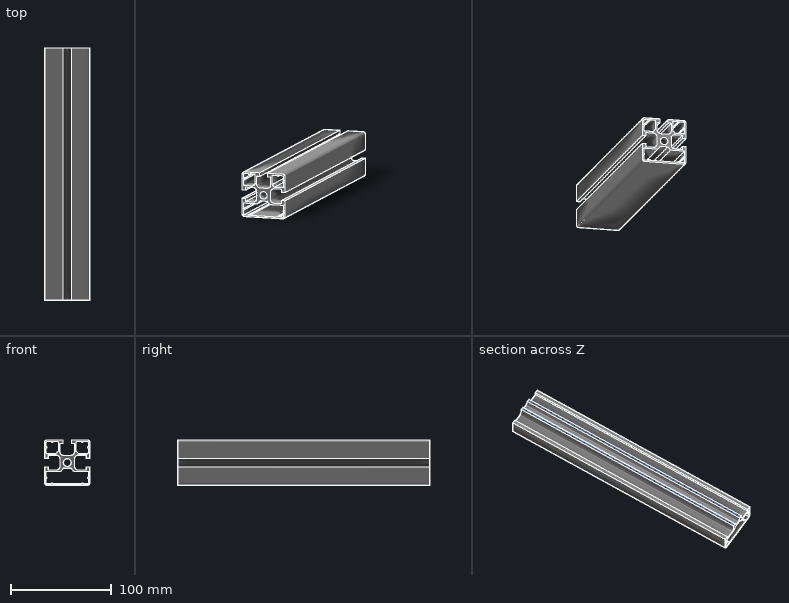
import cadquery as cq

length = 250.0
side = 45.0
half_side = side / 2
outer_radius = 2.5
wall = 1.62
inner_half = half_side - wall

slot_opening = 8.2
lip_thickness = 3.8
slot_half_width = 7.2
slot_floor = 7.2
slot_radius = 3.8

chamber_start = slot_half_width + wall
chamber_size = inner_half - chamber_start
chamber_centre = (inner_half + chamber_start) / 2
chamber_chamfer = 2.5
chamber_radius = 1.0
core_bottom = 5.8
arch_half_width = 3.8
arch_base_half_width = 6.5

bore_diameter = 7.5

bead_radius = 0.8
bead_offset = 15.0

ridge_width = 2.0
ridge_height = 0.12
ridge_offset = 16.0


def section():
    """Sketch plane at the +Y end; positive extrusion runs toward -Y."""
    return cq.Workplane("XZ", origin=(0, length / 2, 0))


def t_slot(angle):
    """Cutter for the top slot, turned about Y by the given angle."""
    slot_roof = half_side - lip_thickness
    cavity_height = slot_roof - slot_floor
    cavity = (
        section()
        .center(0, (slot_roof + slot_floor) / 2)
        .rect(2 * slot_half_width, cavity_height)
        .extrude(length)
        .edges("|Y and <Z")
        .fillet(slot_radius)
    )
    mouth = (
        section()
        .center(0, (half_side + slot_floor + slot_radius) / 2)
        .rect(slot_opening, half_side - slot_floor - slot_radius)
        .extrude(length)
    )
    return cavity.union(mouth).rotate((0, 0, 0), (0, 1, 0), angle)


def corner_chamber(x_sign):
    """Upper square chamber, chamfered nearest the core and rounded elsewhere."""
    core_side, outer_side = ("<X", ">X") if x_sign > 0 else (">X", "<X")
    return (
        section()
        .center(x_sign * chamber_centre, chamber_centre)
        .rect(chamber_size, chamber_size)
        .extrude(length)
        .edges(f"|Y and ({outer_side} or (>Z and {core_side}))")
        .fillet(chamber_radius)
        .edges(f"|Y and <Z and {core_side}")
        .chamfer(chamber_chamfer)
    )


def lower_chamber():
    """Full-width chamber whose ceiling rises below the core."""
    return (
        section()
        .moveTo(-inner_half, -inner_half)
        .lineTo(inner_half, -inner_half)
        .lineTo(inner_half, -chamber_start)
        .lineTo(arch_base_half_width, -chamber_start)
        .lineTo(arch_half_width, -core_bottom)
        .lineTo(-arch_half_width, -core_bottom)
        .lineTo(-arch_base_half_width, -chamber_start)
        .lineTo(-inner_half, -chamber_start)
        .close()
        .extrude(length)
    )


def beads():
    """Two round beads in each corner of the profile, one per outer wall."""
    points = []
    for x_sign in (-1, 1):
        for z_sign in (-1, 1):
            points.append((x_sign * bead_offset, z_sign * inner_half))
            points.append((x_sign * inner_half, z_sign * bead_offset))
    return section().pushPoints(points).circle(bead_radius).extrude(length)


def floor_ridge(x_sign):
    """Shallow arched ridge on the floor of an upper chamber."""
    return (
        section()
        .center(x_sign * ridge_offset, chamber_start)
        .moveTo(-ridge_width / 2, 0)
        .threePointArc((0, ridge_height), (ridge_width / 2, 0))
        .close()
        .extrude(length)
    )


result = section().rect(side, side).extrude(length).edges("|Y").fillet(outer_radius)

for slot_angle in (-90, 0, 90):
    result = result.cut(t_slot(slot_angle))

for chamber_side in (-1, 1):
    result = result.cut(corner_chamber(chamber_side))

result = result.cut(lower_chamber())
result = result.cut(section().circle(bore_diameter / 2).extrude(length))
result = result.union(beads())

for chamber_side in (-1, 1):
    result = result.union(floor_ridge(chamber_side))